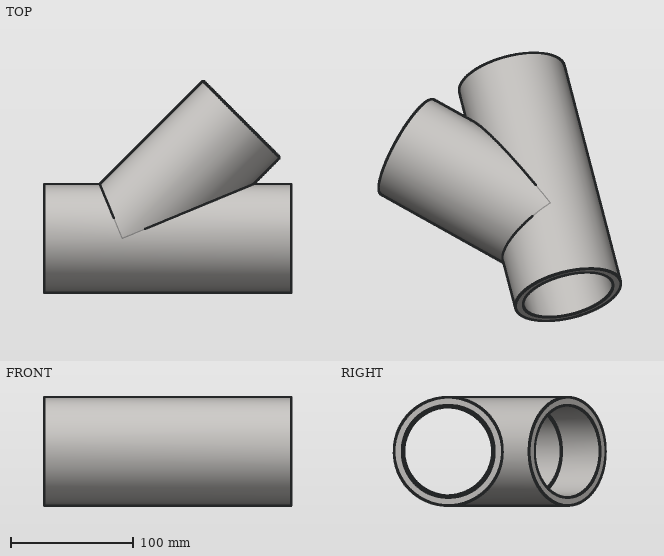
import cadquery as cq
import math

run_length = 202.0
outer_diameter = 89.0
socket_diameter = 75.0
bore_diameter = 72.0
socket_depth = 44.0
edge_chamfer = 0.5
branch_angle = 45.0
branch_length = 138.0
crossing_x = -37.2

angle = math.radians(branch_angle)
branch_direction = cq.Vector(math.cos(angle), math.sin(angle), 0)
run_direction = cq.Vector(1, 0, 0)
crossing = cq.Vector(crossing_x, 0, 0)
left_mouth = cq.Vector(-run_length / 2, 0, 0)
right_mouth = cq.Vector(run_length / 2, 0, 0)
branch_mouth = crossing + branch_direction * branch_length


def cylinder(start, direction, length, diameter):
    """Solid cylinder running from start along direction."""
    plane = cq.Plane(origin=start, normal=direction)
    return cq.Workplane(plane).circle(diameter / 2).extrude(length)


def socket(mouth, inward):
    """Cutter for the pipe socket that opens at a mouth, with its chamfered entry."""
    bore = cylinder(mouth, inward, socket_depth, socket_diameter)
    entry = cq.Solid.makeCone(
        socket_diameter / 2 + edge_chamfer, socket_diameter / 2, edge_chamfer, mouth, inward
    )
    return bore.union(entry)


run = cylinder(left_mouth, run_direction, run_length, outer_diameter).edges().chamfer(edge_chamfer)
branch = cylinder(crossing, branch_direction, branch_length, outer_diameter)
branch = branch.faces(cq.selectors.DirectionMinMaxSelector(branch_direction)).edges().chamfer(edge_chamfer)
body = run.union(branch)

body = body.cut(cylinder(left_mouth, run_direction, run_length, bore_diameter))
body = body.cut(cylinder(crossing, branch_direction, branch_length, bore_diameter))

body = body.cut(socket(left_mouth, run_direction))
body = body.cut(socket(right_mouth, run_direction * -1))
body = body.cut(socket(branch_mouth, branch_direction * -1))

result = body